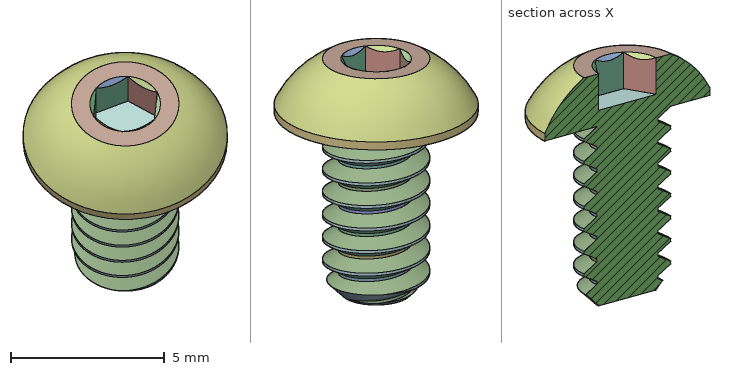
import cadquery as cq
import math

total_length = 8.2

head_diameter = 6.66
head_top_diameter = 3.5
head_height = 1.86
rim_height = 0.28

socket_corner_diameter = 2.3
socket_depth = 1.29
countersink_slope = 1.0

major_diameter = 3.5
minor_diameter = 2.48
three_turn_rise = 2.38
pitch = three_turn_rise / 3
crest_width = pitch / 8
flank_angle = 30.0
crest_height = 0.64
tip_diameter = 2.3
root_overlap = 0.04
head_overlap = 0.08

head_bottom = total_length - head_height
shank_top = head_bottom + head_overlap
major_radius = major_diameter / 2
minor_radius = minor_diameter / 2


def make_head():
    """Spherical dome, centred on the axis, above a short cylindrical rim."""
    rim_radius = head_diameter / 2
    top_radius = head_top_diameter / 2
    rim_top = head_bottom + rim_height
    dome_rise = total_length - rim_top
    center_drop = (rim_radius**2 - top_radius**2 - dome_rise**2) / (2 * dome_rise)
    dome_center = rim_top - center_drop
    dome_radius = math.hypot(rim_radius, center_drop)
    mid_radius = (rim_radius + top_radius) / 2
    mid_height = dome_center + math.sqrt(dome_radius**2 - mid_radius**2)
    return (
        cq.Workplane("XZ")
        .moveTo(0, head_bottom)
        .lineTo(rim_radius, head_bottom)
        .lineTo(rim_radius, rim_top)
        .threePointArc((mid_radius, mid_height), (top_radius, total_length))
        .lineTo(0, total_length)
        .close()
        .revolve(360, (0, 0), (0, 1))
    )


def make_socket():
    """Hexagonal pocket whose mouth is countersunk out to the hexagon corners."""
    hexagon = (
        cq.Workplane("XY", origin=(0, 0, total_length - socket_depth))
        .transformed(rotate=(0, 0, 90))
        .polygon(6, socket_corner_diameter)
        .extrude(socket_depth)
    )
    mouth_radius = socket_corner_diameter / 2
    cone_depth = mouth_radius * countersink_slope
    countersink = (
        cq.Workplane("XZ")
        .moveTo(0, total_length)
        .lineTo(mouth_radius, total_length)
        .lineTo(0, total_length - cone_depth)
        .close()
        .revolve(360, (0, 0), (0, 1))
    )
    return hexagon.union(countersink)


def make_thread_ridge():
    """Helical ridge running past both ends of the shank."""
    start = crest_height - 2 * pitch
    turns = math.ceil((shank_top + pitch - start) / pitch)
    inner_radius = minor_radius - root_overlap
    half_crest = crest_width / 2
    half_base = half_crest + (major_radius - inner_radius) * math.tan(math.radians(flank_angle))
    path = cq.Wire.makeHelix(pitch, turns * pitch, minor_radius, center=cq.Vector(0, 0, start))
    return (
        cq.Workplane("XZ")
        .moveTo(inner_radius, start - half_base)
        .lineTo(major_radius, start - half_crest)
        .lineTo(major_radius, start + half_crest)
        .lineTo(inner_radius, start + half_base)
        .close()
        .sweep(cq.Workplane(path), isFrenet=True)
    )


def make_shank():
    """Threaded core, longer than its ridge at both ends, trimmed to length and chamfered at the tip."""
    overrun = 3 * pitch
    core = (
        cq.Workplane("XY", origin=(0, 0, -overrun))
        .circle(minor_radius)
        .extrude(shank_top + 2 * overrun)
    )
    tip_radius = tip_diameter / 2
    envelope_radius = major_radius + root_overlap
    envelope = (
        cq.Workplane("XZ")
        .lineTo(tip_radius, 0)
        .lineTo(envelope_radius, envelope_radius - tip_radius)
        .lineTo(envelope_radius, shank_top)
        .lineTo(0, shank_top)
        .close()
        .revolve(360, (0, 0), (0, 1))
    )
    return core.union(make_thread_ridge()).intersect(envelope)


result = make_head().cut(make_socket()).union(make_shank())